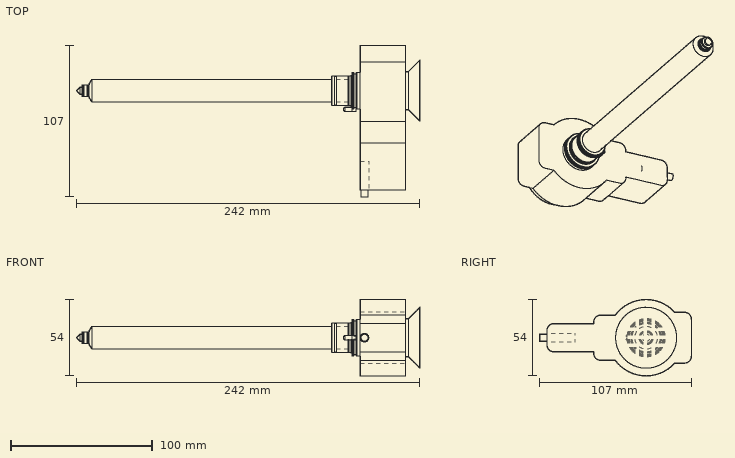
import cadquery as cq


HOUSING_LENGTH = 32.0
DRUM_RADIUS = 27.0
BACK_BLOCK_REACH = 32.0
BACK_BLOCK_HEIGHT = 36.0
SHOULDER_REACH = 37.0
SHOULDER_HEIGHT = 32.0
ARM_REACH = 70.0
ARM_HEIGHT = 20.0
CORNER_RADIUS = 5.0

CABLE_DIAMETER = 5.0
CABLE_SEAT_DIAMETER = 6.0
CABLE_SEAT_DEPTH = 20.0
CABLE_STICK_OUT = 5.0
CABLE_SEAT_WALL = 0.05
CABLE_X = CABLE_SEAT_DIAMETER / 2 + CABLE_SEAT_WALL

EYECUP_COLLAR_RADIUS = 13.5
EYECUP_COLLAR_LENGTH = 2.0
EYECUP_FLARE = 8.0

FLANGE_RADIUS = 13.0
RIM_CHAMFER = 0.5
BOSS_LENGTH = 2.9
GROOVE_WIDTH = 1.5
GROOVE_RADIUS = 11.9
FLANGE_WIDTH = 1.4
GROOVE_FRONT = -BOSS_LENGTH - GROOVE_WIDTH
FLANGE_FRONT = GROOVE_FRONT - FLANGE_WIDTH

PIN_DIAMETER = 3.2
PIN_LENGTH = 6.0
PIN_NOSE_LENGTH = 1.0
PIN_NOSE_STEP = 0.9
PIN_OFFSET = 13.2

SLEEVE_RADIUS = 10.5
SLEEVE_LENGTH = 14.4
SLEEVE_CHAMFER = 0.5
SLEEVE_FRONT = FLANGE_FRONT - SLEEVE_LENGTH
COLLAR_RADIUS = 10.9
COLLAR_LENGTH = 0.8
BAND_DEPTH = 0.15
FRONT_BAND_START = 2.0
FRONT_BAND_WIDTH = 1.4
REAR_BAND_START = 11.7
REAR_BAND_WIDTH = 0.7

TUBE_RADIUS = 8.0
TUBE_FRONT = -191.0
TAPER_LENGTH = 1.8
TAPER_FRONT_RADIUS = 5.0

TIP_RADIUS = 2.6
TIP_NECK_LENGTH = 1.4
NUT_RADIUS = 4.2
NUT_LENGTH = 5.0
NUT_GROOVE_STARTS = (0.7, 3.6)
NUT_GROOVE_WIDTH = 0.7
NUT_GROOVE_DEPTH = 0.2


def rod(radius, start, end):
    """Cylinder about the main axis from X = start to X = end."""
    return cq.Workplane("YZ", origin=(start, 0, 0)).circle(radius).extrude(end - start)


def turned(points):
    """Solid of revolution about the main axis from (x, radius) points."""
    return cq.Workplane("XY").polyline(points).close().revolve(360, (0, 0, 0), (1, 0, 0))


def ring_band(outer, depth, start, width):
    """Ring to cut for a shallow band of the given depth."""
    end = start + width
    return rod(outer + depth, start, end).cut(rod(outer - depth, start, end))


def block(y_from, y_to, height, edges):
    """Housing slab between two Y positions, rounded on the chosen X-parallel edges."""
    slab = cq.Workplane("XY").box(HOUSING_LENGTH, y_to - y_from, height, centered=(False, False, True))
    return slab.translate((0, y_from, 0)).edges("|X").edges(edges).fillet(CORNER_RADIUS)


def cable_rod(diameter, y_from, y_to):
    """Cylinder on the cable's axis, running towards -Y from y_from to y_to."""
    start = cq.Workplane("XZ", origin=(CABLE_X, y_from, 0))
    return start.circle(diameter / 2).extrude(y_from - y_to)


def make_cable():
    seat_end = -ARM_REACH + CABLE_SEAT_DEPTH
    seat = cable_rod(CABLE_SEAT_DIAMETER, seat_end, -ARM_REACH)
    return seat.union(cable_rod(CABLE_DIAMETER, -ARM_REACH, -ARM_REACH - CABLE_STICK_OUT))


def make_housing():
    body = rod(DRUM_RADIUS, 0, HOUSING_LENGTH)
    body = body.union(block(0, BACK_BLOCK_REACH, BACK_BLOCK_HEIGHT, ">Y"))
    body = body.union(block(-SHOULDER_REACH, 0, SHOULDER_HEIGHT, "<Y"))
    body = body.union(block(-ARM_REACH, 0, ARM_HEIGHT, "<Y"))
    return body.cut(make_cable())


def make_eyecup():
    start = HOUSING_LENGTH
    flare_start = start + EYECUP_COLLAR_LENGTH
    flare_end = flare_start + EYECUP_FLARE
    return turned([
        (start, 0),
        (start, EYECUP_COLLAR_RADIUS),
        (flare_start, EYECUP_COLLAR_RADIUS),
        (flare_end, EYECUP_COLLAR_RADIUS + EYECUP_FLARE),
        (flare_end, 0),
    ])


def pin_rod(start, end):
    """Cylinder of the pin's diameter on the pin's own axis."""
    return rod(PIN_DIAMETER / 2, start, end).translate((0, -PIN_OFFSET, 0))


def make_pin():
    pin = pin_rod(FLANGE_FRONT - PIN_LENGTH, FLANGE_FRONT)
    return pin.faces("<X").edges().chamfer(PIN_NOSE_LENGTH, PIN_NOSE_STEP)


def make_boss():
    return rod(FLANGE_RADIUS, -BOSS_LENGTH, 0).faces("<X").chamfer(RIM_CHAMFER)


def make_flange():
    rim = rod(FLANGE_RADIUS, FLANGE_FRONT, GROOVE_FRONT).faces(">X").chamfer(RIM_CHAMFER)
    groove_floor = rod(GROOVE_RADIUS, GROOVE_FRONT, -BOSS_LENGTH)
    ear = pin_rod(FLANGE_FRONT, -BOSS_LENGTH)
    return rim.union(groove_floor).union(ear)


def make_tube():
    taper_end = TUBE_FRONT + TAPER_LENGTH
    return turned([
        (TUBE_FRONT, 0),
        (TUBE_FRONT, TAPER_FRONT_RADIUS),
        (taper_end, TUBE_RADIUS),
        (FLANGE_FRONT, TUBE_RADIUS),
        (FLANGE_FRONT, 0),
    ])


def make_sleeve():
    collar_front = FLANGE_FRONT - COLLAR_LENGTH
    sleeve = turned([
        (SLEEVE_FRONT, TUBE_RADIUS),
        (SLEEVE_FRONT, SLEEVE_RADIUS - SLEEVE_CHAMFER),
        (SLEEVE_FRONT + SLEEVE_CHAMFER, SLEEVE_RADIUS),
        (collar_front, SLEEVE_RADIUS),
        (collar_front, COLLAR_RADIUS),
        (FLANGE_FRONT, COLLAR_RADIUS),
        (FLANGE_FRONT, TUBE_RADIUS),
    ])
    for start, width in (
        (FRONT_BAND_START, FRONT_BAND_WIDTH),
        (REAR_BAND_START, REAR_BAND_WIDTH),
    ):
        sleeve = sleeve.cut(ring_band(SLEEVE_RADIUS, BAND_DEPTH, SLEEVE_FRONT + start, width))
    return sleeve


def make_tip():
    nut_front = TUBE_FRONT - NUT_LENGTH
    neck_front = nut_front - TIP_NECK_LENGTH
    tip = turned([
        (neck_front - TIP_RADIUS, 0),
        (neck_front, TIP_RADIUS),
        (nut_front, TIP_RADIUS),
        (nut_front, NUT_RADIUS),
        (TUBE_FRONT, NUT_RADIUS),
        (TUBE_FRONT, 0),
    ])
    for start in NUT_GROOVE_STARTS:
        tip = tip.cut(ring_band(NUT_RADIUS, NUT_GROOVE_DEPTH, nut_front + start, NUT_GROOVE_WIDTH))
    return tip


bodies = [
    make_housing(),
    make_cable(),
    make_eyecup(),
    make_boss(),
    make_flange(),
    make_pin(),
    make_sleeve(),
    make_tube(),
    make_tip(),
]
result = cq.Compound.makeCompound([body.val() for body in bodies])